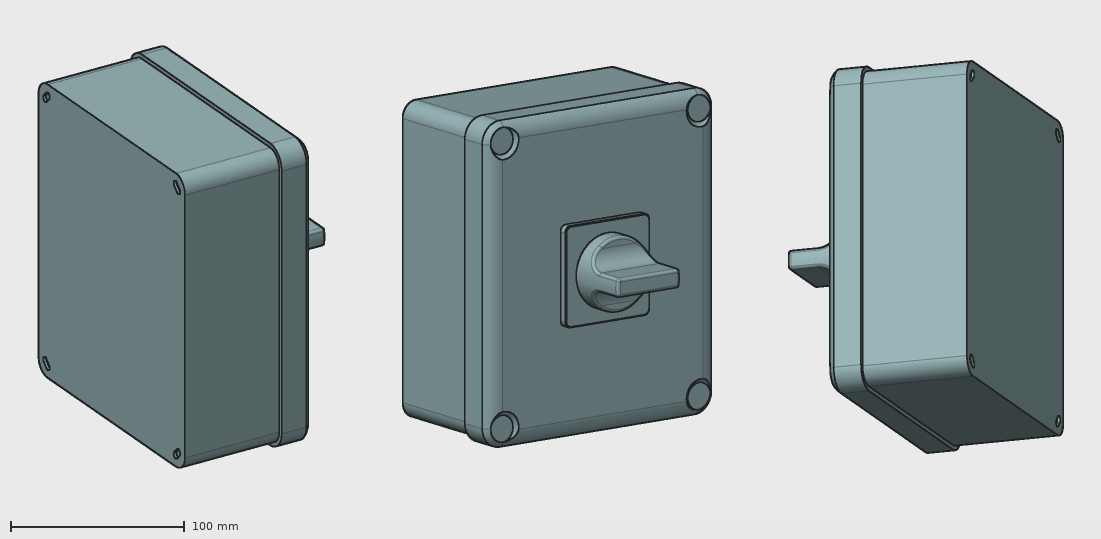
import cadquery as cq
import math

lid_overhang = 2.7
lid_width = 164.0
lid_height = 193.0
lid_corner_radius = 12.5
base_width = lid_width - 2 * lid_overhang
base_height = lid_height - 2 * lid_overhang
base_corner_radius = lid_corner_radius - lid_overhang
base_depth = 64.0

lid_face_y = 86.5
shoulder_depth = 5.6
shoulder_radius = 12.4
shoulder_inset = math.sqrt(shoulder_radius**2 - (shoulder_radius - shoulder_depth) ** 2)

fixing_inset = 11.4
fixing_x = lid_width / 2 - fixing_inset
fixing_z = lid_height / 2 - fixing_inset
slot_length = 8.3
slot_width = 4.2
slot_depth = 2.0
recess_radius = 10.6
recess_floor_radius = 8.1
recess_depth = 2.1

plate_side = 60.2
plate_thickness = 5.0
plate_corner_radius = 3.9
plate_edge_chamfer = 0.5
plate_face_y = lid_face_y + plate_thickness

dial_radius = 22.5
dial_face_y = 102.1
knob_tip_y = 131.5
grip_thickness = 11.4
grip_root_radius = 11.2
knob_edge_radius = 2.0


def rounded_block(width, height, start_y, end_y, corner_radius):
    """Block with rounded corners, extending from start_y to end_y."""
    block = cq.Workplane("XY").box(width, end_y - start_y, height)
    return block.translate((0, (start_y + end_y) / 2, 0)).edges("|Y").fillet(corner_radius)


def make_shoulder_cutter():
    """Ring of waste outside the rounded shoulder, swept round the lid outline."""
    half_width = lid_width / 2
    rim_top_y = lid_face_y - shoulder_depth
    start_angle = math.asin(1 - shoulder_depth / shoulder_radius)
    mid_angle = (start_angle + math.pi / 2) / 2
    arc_centre_x = half_width - shoulder_inset
    arc_centre_y = lid_face_y - shoulder_radius
    margin = 2.0
    profile = (
        cq.Workplane("XY")
        .moveTo(half_width, rim_top_y)
        .threePointArc(
            (
                arc_centre_x + shoulder_radius * math.cos(mid_angle),
                arc_centre_y + shoulder_radius * math.sin(mid_angle),
            ),
            (arc_centre_x, lid_face_y),
        )
        .lineTo(arc_centre_x, lid_face_y + margin)
        .lineTo(half_width + margin, lid_face_y + margin)
        .lineTo(half_width + margin, rim_top_y)
        .close()
    )
    outline = (
        rounded_block(lid_width, lid_height, 0, rim_top_y, lid_corner_radius)
        .faces(">Y")
        .wires()
    )
    return profile.sweep(outline, transition="right")


def make_lid():
    lid = rounded_block(lid_width, lid_height, base_depth, lid_face_y, lid_corner_radius)
    return lid.cut(make_shoulder_cutter())


def cut_corner_fixings(body):
    for side_x in (-1, 1):
        for side_z in (-1, 1):
            x = side_x * fixing_x
            z = side_z * fixing_z
            slot = (
                cq.Workplane("XZ")
                .slot2D(slot_length, slot_width, -45 * side_x * side_z)
                .extrude(-slot_depth)
                .translate((x, 0, z))
            )
            recess = (
                cq.Workplane("XZ")
                .circle(recess_radius)
                .workplane(offset=recess_depth)
                .circle(recess_floor_radius)
                .loft()
                .translate((x, lid_face_y, z))
            )
            body = body.cut(slot).cut(recess)
    return body


def make_plate():
    plate = rounded_block(plate_side, plate_side, lid_face_y, plate_face_y, plate_corner_radius)
    return plate.faces(">Y").edges().chamfer(plate_edge_chamfer)


def make_knob():
    grip_face_z = grip_thickness / 2
    arc_mid = grip_root_radius * (1 - math.sqrt(0.5))
    waste = (
        cq.Workplane("YZ")
        .moveTo(knob_tip_y, grip_face_z)
        .lineTo(dial_face_y + grip_root_radius, grip_face_z)
        .threePointArc(
            (dial_face_y + arc_mid, grip_face_z + arc_mid),
            (dial_face_y, grip_face_z + grip_root_radius),
        )
        .lineTo(dial_face_y, dial_radius)
        .lineTo(knob_tip_y, dial_radius)
        .close()
        .extrude(dial_radius, both=True)
    )
    knob = (
        cq.Workplane("XZ", origin=(0, plate_face_y, 0))
        .circle(dial_radius)
        .extrude(plate_face_y - knob_tip_y)
        .cut(waste)
        .cut(waste.mirror("XY"))
    )
    sharp_edges = "(>Y or (not |X)) and (not >X) and (not <Y)"
    return knob.edges(sharp_edges).fillet(knob_edge_radius)


base = rounded_block(base_width, base_height, 0, base_depth, base_corner_radius)
housing = cut_corner_fixings(base.union(make_lid()))
result = housing.union(make_plate()).union(make_knob())